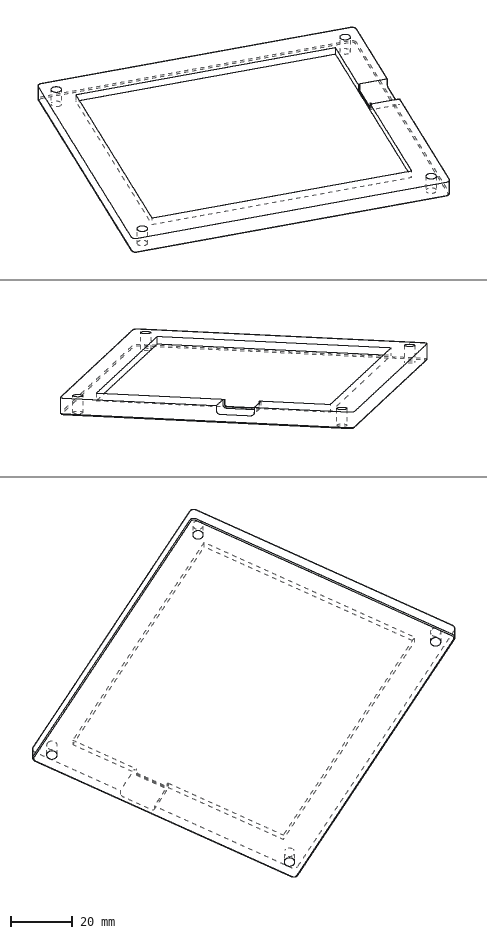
import cadquery as cq

width = 97.4
length = 108.3
thickness = 5.5
corner_radius = 1.5
bottom_chamfer = 0.38

rim = 10.0
pocket_depth = 2.5
pocket_width = width - 2 * rim
pocket_length = length - 2 * rim

hole_diameter = 3.4
hole_inset = 5.0

channel_x = -9.5
channel_floor_width = 10.0
channel_floor_radius = 1.3
channel_width = channel_floor_width + 2 * channel_floor_radius
channel_depth = 2.8
lip_thickness = 0.4
lip_height = 0.5


def make_plate():
    plate = cq.Workplane("XY").box(width, length, thickness, centered=(True, True, False))
    plate = plate.edges("|Z").fillet(corner_radius)
    return plate.faces("<Z").edges().chamfer(bottom_chamfer)


def make_pocket():
    return (
        cq.Workplane("XY")
        .workplane(offset=thickness - pocket_depth)
        .rect(pocket_width, pocket_length)
        .extrude(pocket_depth)
    )


def make_holes():
    return (
        cq.Workplane("XY")
        .rect(width - 2 * hole_inset, length - 2 * hole_inset, forConstruction=True)
        .vertices()
        .circle(hole_diameter / 2)
        .extrude(thickness)
    )


def channel_cut(start_y, end_y, inset):
    depth = channel_depth - inset
    cut = (
        cq.Workplane("XY")
        .box(channel_width - 2 * inset, end_y - start_y, depth, centered=(True, False, False))
        .edges("|Y and <Z")
        .fillet(channel_floor_radius - inset)
    )
    return cut.translate((channel_x, start_y, thickness - depth))


def make_channel():
    pocket_edge_y = length / 2 - rim
    lip_y = pocket_edge_y + lip_thickness
    lip_opening = channel_cut(pocket_edge_y, lip_y, lip_height)
    return channel_cut(lip_y, length / 2, 0).union(lip_opening)


result = make_plate().cut(make_pocket()).cut(make_holes()).cut(make_channel())